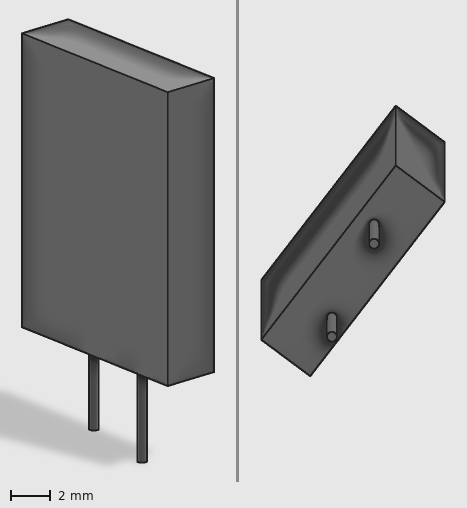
import cadquery as cq

TOTAL_HEIGHT = 20.9
BODY_WIDTH = 11.2
BODY_DEPTH = 3.1

LEAD_DIAMETER = 0.5
LEAD_LENGTH = 5.12
LEAD_PITCH_X = 5.08
LEAD_PITCH_Y = 1.2

BODY_HEIGHT = TOTAL_HEIGHT - LEAD_LENGTH

LEAD_POSITIONS = [
    (-LEAD_PITCH_X / 2, LEAD_PITCH_Y / 2),
    (LEAD_PITCH_X / 2, -LEAD_PITCH_Y / 2),
]


def make_body():
    """Plain rectangular block standing on the plane Z = 0."""
    return cq.Workplane("XY").box(BODY_WIDTH, BODY_DEPTH, BODY_HEIGHT, centered=(True, True, False))


def make_lead(x, y):
    """Straight round lead hanging from the underside of the body."""
    return cq.Workplane("XY").center(x, y).circle(LEAD_DIAMETER / 2).extrude(-LEAD_LENGTH)


body = make_body()
leads = [make_lead(x, y) for x, y in LEAD_POSITIONS]

result = cq.Compound.makeCompound([body.val(), *[lead.val() for lead in leads]])